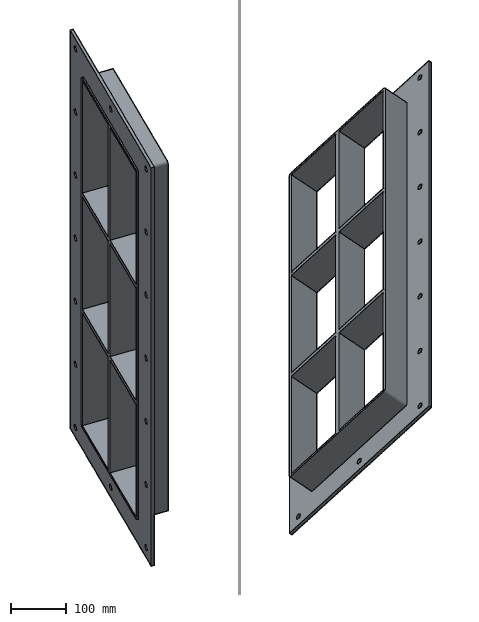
import cadquery as cq

flange_width = 383.0
flange_height = 990.0
flange_thickness = 6.0

sleeve_depth = 60.0
sleeve_lip = 3.0
sleeve_wall = 6.0
sleeve_corner_radius = sleeve_wall
sleeve_width = 264.0
sleeve_height = 869.0

bar_thickness = 10.0
columns = 2
rows = 3

hole_diameter = 11.0
hole_margin = 25.0
holes_per_side = 7
holes_per_end = 3

inner_width = sleeve_width - 2 * sleeve_wall
inner_height = sleeve_height - 2 * sleeve_wall
flange_front = sleeve_lip - sleeve_depth / 2


def block(width, height, front, depth):
    """Box centred on the Y axis, running from y = front towards +Y."""
    return cq.Workplane("XY").box(width, depth, height).translate((0, front + depth / 2, 0))


def make_sleeve_outside():
    body = block(sleeve_width, sleeve_height, -sleeve_depth / 2, sleeve_depth)
    return body.edges("|Y").fillet(sleeve_corner_radius)


def make_opening():
    return block(inner_width, inner_height, -sleeve_depth / 2, sleeve_depth)


def bar_positions(count, inner_size):
    """Bar centres that split inner_size into count equal clear openings."""
    clear = (inner_size - (count - 1) * bar_thickness) / count
    pitch = clear + bar_thickness
    return [(i - count / 2) * pitch for i in range(1, count)]


def add_bars(body):
    for x in bar_positions(columns, inner_width):
        upright = block(bar_thickness, sleeve_height - sleeve_wall, -sleeve_depth / 2, sleeve_depth)
        body = body.union(upright.translate((x, 0, 0)))
    for z in bar_positions(rows, inner_height):
        crossbar = block(sleeve_width - sleeve_wall, bar_thickness, -sleeve_depth / 2, sleeve_depth)
        body = body.union(crossbar.translate((0, 0, z)))
    return body


def make_bolt_holes():
    span_x = flange_width - 2 * hole_margin
    span_z = flange_height - 2 * hole_margin
    pitch_x = span_x / (holes_per_end - 1)
    pitch_z = span_z / (holes_per_side - 1)
    sides = cq.Workplane("XZ").rarray(span_x, pitch_z, 2, holes_per_side)
    ends = cq.Workplane("XZ").rarray(pitch_x, span_z, holes_per_end, 2)
    side_holes = sides.circle(hole_diameter / 2).extrude(sleeve_depth, both=True)
    end_holes = ends.circle(hole_diameter / 2).extrude(sleeve_depth, both=True)
    return side_holes.union(end_holes)


flange = block(flange_width, flange_height, flange_front, flange_thickness)
frame = flange.union(make_sleeve_outside()).cut(make_opening())
result = add_bars(frame).cut(make_bolt_holes())